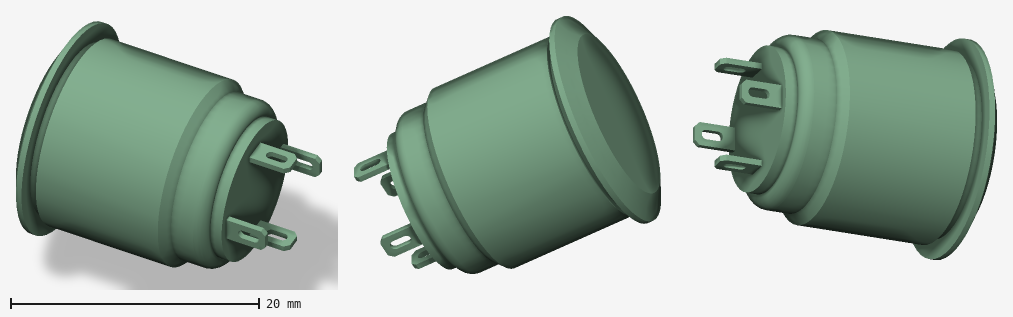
import cadquery as cq


rim_start_x = 1.0
rim_end_x = 1.5
groove_end_x = 2.28
barrel_end_x = 13.25
housing_end_x = 14.05
cap_end_x = 17.0
base_end_x = 18.02
terminal_end_x = 21.5

face_diameter = 13.98
flange_diameter = 18.0
groove_diameter = 14.8
barrel_diameter = 15.9
cap_diameter = 14.3
base_diameter = 12.0
ring_diameter = 11.9
button_diameter = 9.2

pocket_depth = rim_end_x

cap_fillet = 0.99

terminal_width = 2.0
terminal_thickness = 0.5
terminal_chamfer = 0.39
slot_length = 1.85
slot_width = 0.82
slot_center_x = 20.0
side_terminal_y = 4.88
upright_terminal_z = 4.21


def disc(diameter, start_x, end_x):
    """Solid cylinder on the X axis between two positions."""
    return cq.Workplane("YZ", origin=(start_x, 0, 0)).circle(diameter / 2).extrude(end_x - start_x)


def make_housing():
    """Flange, groove and barrel turned in one piece, with a pocket in the front face."""
    profile = [
        (0, 0),
        (0, face_diameter / 2),
        (rim_start_x, flange_diameter / 2),
        (rim_end_x, flange_diameter / 2),
        (rim_end_x, groove_diameter / 2),
        (groove_end_x, groove_diameter / 2),
        (groove_end_x, barrel_diameter / 2),
        (barrel_end_x, barrel_diameter / 2),
        (housing_end_x, cap_diameter / 2),
        (housing_end_x, 0),
    ]
    body = cq.Workplane("XY").polyline(profile).close().revolve(360, (0, 0, 0), (1, 0, 0))
    return body.cut(disc(ring_diameter, 0, pocket_depth))


def make_ring():
    """Flush ring between the housing and the button."""
    return disc(ring_diameter, 0, pocket_depth).cut(disc(button_diameter, 0, pocket_depth))


def make_button():
    """Flush round button inside the ring."""
    return disc(button_diameter, 0, pocket_depth)


def make_cap():
    """Rear cap behind the barrel, with its outer rear edge rounded."""
    return disc(cap_diameter, housing_end_x, cap_end_x).faces(">X").edges().fillet(cap_fillet)


def make_base():
    """Round base that carries the terminals."""
    return disc(base_diameter, cap_end_x, base_end_x)


def make_terminal(angle, distance):
    """Flat slotted tab at the given distance above the X axis, then turned about that axis."""
    length = terminal_end_x - base_end_x
    center_x = (base_end_x + terminal_end_x) / 2
    tab = (
        cq.Workplane("XY")
        .box(length, terminal_width, terminal_thickness)
        .translate((center_x, 0, distance))
        .edges(">X and |Z")
        .chamfer(terminal_chamfer)
    )
    slot = (
        cq.Workplane("XY")
        .slot2D(slot_length, slot_width)
        .extrude(terminal_thickness / 2, both=True)
        .translate((slot_center_x, 0, distance))
    )
    return tab.cut(slot).rotate((0, 0, 0), (1, 0, 0), angle)


housing = make_housing()
ring = make_ring()
button = make_button()
cap = make_cap()
base = make_base()

terminal_distances = [upright_terminal_z, side_terminal_y] * 2
quarter_turn = 360 / len(terminal_distances)
terminals = []
for index, distance in enumerate(terminal_distances):
    terminals.append(make_terminal(index * quarter_turn, distance).val())

result = cq.Compound.makeCompound(
    [housing.val(), ring.val(), button.val(), cap.val(), base.val(), *terminals]
)